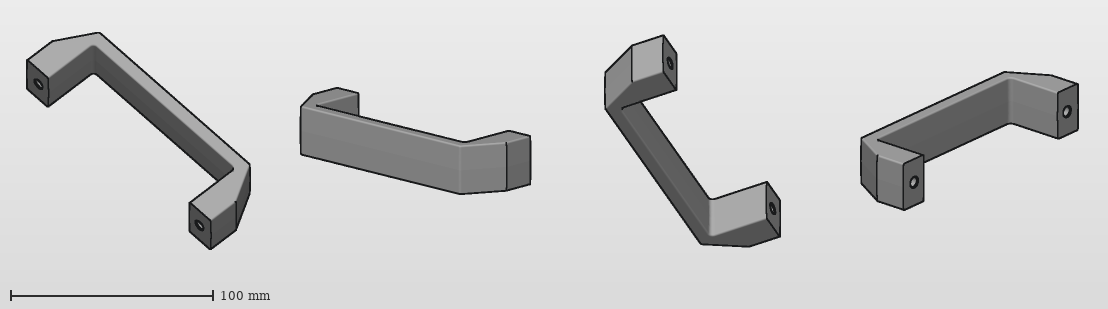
import cadquery as cq
import math

length = 134.0
depth = 38.0
height = 25.0

leg_width = 16.0
leg_straight = 17.2
slope_angle = 60.0
grip_thickness = 7.5
outer_corner_radius = 1.6
inner_corner_radius = 2.0

draft_angle = 1.0
edge_radius = 1.0
trim_margin = 6.7

hole_spacing = 117.0
hole_diameter = 5.0
hole_mouth_diameter = 6.0
hole_depth = 13.4
drill_point_angle = 118.0

half_length = length / 2
half_height = height / 2
inner_half = half_length - leg_width
slope_run = (depth - leg_straight) / math.tan(math.radians(slope_angle))
grip_half = half_length - slope_run


def drafted_half(direction):
    """Extrude half of the handle from the parting plane, up (1) or down (-1)."""
    outline = [
        (-half_length, -trim_margin),
        (-half_length, leg_straight),
        (-grip_half, depth),
        (grip_half, depth),
        (half_length, leg_straight),
        (half_length, -trim_margin),
        (inner_half, -trim_margin),
        (inner_half, depth - grip_thickness),
        (-inner_half, depth - grip_thickness),
        (-inner_half, -trim_margin),
    ]
    profile = cq.Sketch().polygon(outline + outline[:1])
    outer_corners = [(-grip_half, depth), (grip_half, depth)]
    inner_corners = [(x, depth - grip_thickness) for x in (-inner_half, inner_half)]
    for corners, radius in ((outer_corners, outer_corner_radius), (inner_corners, inner_corner_radius)):
        for x, y in corners:
            profile = profile.reset().vertices(cq.NearestToPointSelector((x, y, 0))).fillet(radius)
    half = cq.Workplane("XY").placeSketch(profile.reset()).extrude(half_height, taper=draft_angle)
    half = half.faces(">Z").edges().fillet(edge_radius)
    return half if direction > 0 else half.mirror("XY")


def mounting_hole(x):
    """Drilled blind hole with a 45 degree mouth and a conical bottom, running into a foot along +Y."""
    radius = hole_diameter / 2
    mouth_radius = hole_mouth_diameter / 2
    mouth_depth = mouth_radius - radius
    tip_depth = hole_depth + radius / math.tan(math.radians(drill_point_angle / 2))
    section = [(0, 0), (mouth_radius, 0), (radius, mouth_depth), (radius, hole_depth), (0, tip_depth)]
    return cq.Workplane("XY").polyline(section).close().revolve(360, (0, 0), (0, 1)).translate((x, 0, 0))


handle = drafted_half(1).union(drafted_half(-1))

foot_trim = cq.Workplane("XY").box(
    length + 2 * trim_margin, 2 * trim_margin, height + 2 * trim_margin
).translate((0, -trim_margin, 0))
handle = handle.cut(foot_trim)

for side in (-1, 1):
    handle = handle.cut(mounting_hole(side * hole_spacing / 2))

result = handle